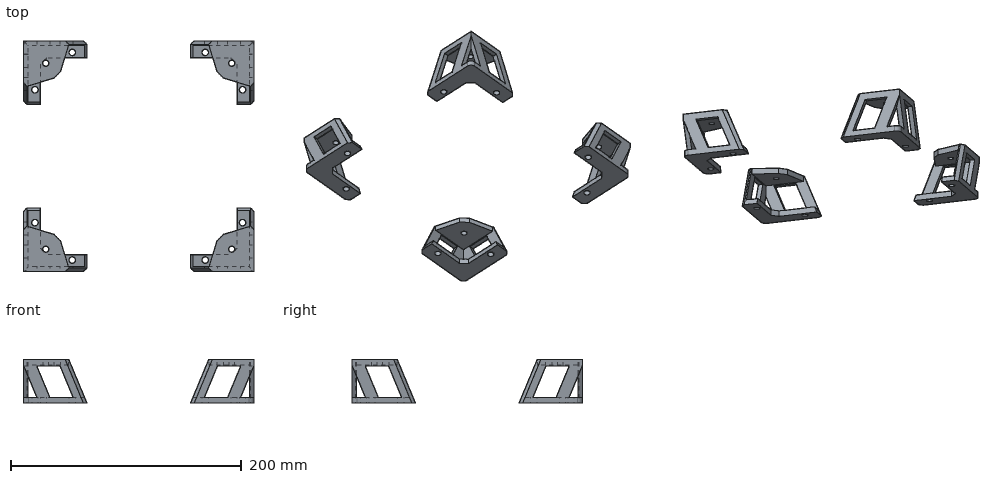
import cadquery as cq
import math

span = 199.8
height = 38.0
half_span = span / 2

foot_length = 55.2
top_length = 39.4
run_per_rise = (foot_length - top_length) / height
foot_width = 14.8
foot_thickness = 5.0
wall_thickness = 4.2
end_chamfer = 3.0
end_chamfer_run = end_chamfer * math.hypot(1, run_per_rise)
corner_radius = 4.4
foot_inner_chamfer = 5.4

plate_thickness = 5.0
plate_tip = 31.0
plate_inner_chamfer = 4.8
plate_hole_place = 19.4
plate_hole_diameter = 5.0

window_top = 32.0
window_width = 20.0
window_start = 23.0
corner_opening_width = 11.5

foot_hole_diameter = 5.4
foot_hole_inset = 10.0
foot_hole_place = 42.4


def swap_arms(body):
    """Mirror a body built along X so that it runs along Y."""
    return body.rotate((0, 0, 0), (1, 1, 0), 180).mirror("XY")


def slanted_bar(width, bar_height):
    """Bar along X with the slanted arm end."""
    end_at_top = foot_length - run_per_rise * bar_height
    outline = [(0, 0), (foot_length, 0), (end_at_top, bar_height), (0, bar_height)]
    return cq.Workplane("XZ").polyline(outline).close().extrude(-width)


def foot():
    arm = slanted_bar(foot_width, foot_thickness)
    both_arms = arm.union(swap_arms(arm))
    inner_corner = cq.NearestToPointSelector((foot_width, foot_width, foot_thickness / 2))
    return both_arms.edges(inner_corner).chamfer(foot_inner_chamfer)


def plate():
    chamfer_start = top_length - end_chamfer_run
    outline = [
        (0, 0),
        (chamfer_start, 0),
        (top_length, end_chamfer),
        (plate_tip, plate_tip),
        (end_chamfer, top_length),
        (0, chamfer_start),
    ]
    body = (
        cq.Workplane("XY", origin=(0, 0, height - plate_thickness))
        .polyline(outline)
        .close()
        .extrude(plate_thickness)
    )
    inner_corner = cq.NearestToPointSelector((plate_tip, plate_tip, height - plate_thickness / 2))
    return body.edges(inner_corner).chamfer(plate_inner_chamfer)


def wall():
    """Wall along X, with a window and a corner opening that both stand on the foot."""
    window_lean = run_per_rise * (window_top - foot_thickness)
    window_outline = [
        (window_start, foot_thickness),
        (window_start + window_width, foot_thickness),
        (window_start + window_width - window_lean, window_top),
        (window_start - window_lean, window_top),
    ]
    corner_outline = [
        (0, foot_thickness),
        (corner_opening_width, foot_thickness),
        (0, foot_thickness + corner_opening_width / run_per_rise),
    ]
    window = cq.Workplane("XZ").polyline(window_outline).close().extrude(-wall_thickness)
    corner = cq.Workplane("XZ").polyline(corner_outline).close().extrude(-wall_thickness)
    return slanted_bar(wall_thickness, height).cut(window).cut(corner)


def round_hole(x, y, diameter, bottom, depth):
    return cq.Workplane("XY", origin=(x, y, bottom)).circle(diameter / 2).extrude(depth)


def corner_bracket():
    """Bracket with its outer corner at the origin and its arms along +X and +Y."""
    x_wall = wall()
    body = foot().union(plate()).union(x_wall).union(swap_arms(x_wall))

    middle_of_end = (foot_length + top_length) / 2
    for place in [(middle_of_end, 0, height / 2), (0, middle_of_end, height / 2)]:
        body = body.edges(cq.NearestToPointSelector(place)).chamfer(end_chamfer)

    foot_corner = cq.NearestToPointSelector((0, 0, foot_thickness / 2))
    body = body.edges(foot_corner).fillet(corner_radius)

    plate_bottom = height - plate_thickness
    foot_hole_places = [(foot_hole_place, foot_hole_inset), (foot_hole_inset, foot_hole_place)]
    for x, y in foot_hole_places:
        body = body.cut(round_hole(x, y, foot_hole_diameter, 0, foot_thickness))
    return body.cut(
        round_hole(plate_hole_place, plate_hole_place, plate_hole_diameter, plate_bottom, plate_thickness)
    )


first_bracket = corner_bracket().translate((-half_span, -half_span, 0))
left_brackets = [first_bracket, first_bracket.mirror("XZ")]
brackets = []
for bracket in left_brackets:
    brackets.append(bracket)
    brackets.append(bracket.mirror("YZ"))

result = cq.Compound.makeCompound([bracket.val() for bracket in brackets])